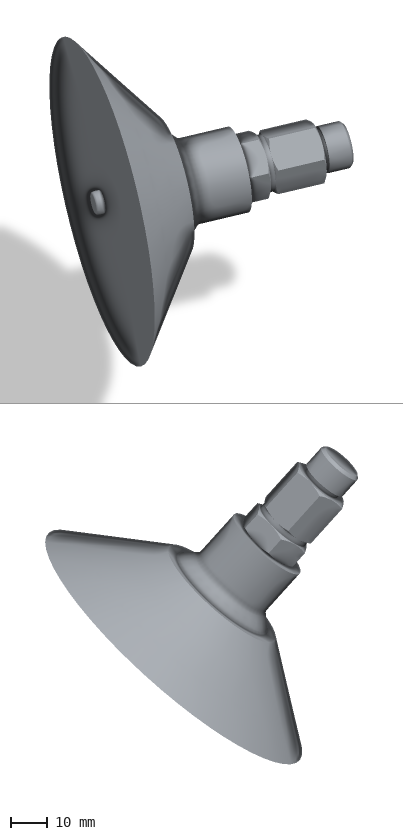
import cadquery as cq
import math


cup_rim_diameter = 92.0
cup_top_diameter = 38.6
cup_height = 20.1

pin_diameter = 6.6
pin_length = 2.47
pin_end_diameter = 5.2
pin_straight_length = 1.25

collar_diameter = 24.0
collar_end = 38.9
flare_fillet_radius = 2.0
flare_start = 25.1
flare_angle = math.radians(45)
foot_height = 0.4
foot_spread = 0.6

overall_length = 72.47
small_hex_flats = 16.0
large_hex_flats = 17.0
large_hex_length = 6.65
relief_diameter = 16.0
relief_length = 1.5
small_hex_length = 14.55
neck_diameter = 11.45
neck_length = 1.35
thread_diameter = 13.16
hex_chamfer_angle = math.radians(30)

fitting_end = overall_length - pin_length
large_hex_end = collar_end + large_hex_length
relief_end = large_hex_end + relief_length
small_hex_end = relief_end + small_hex_length
neck_end = small_hex_end + neck_length


def cylinder(diameter, start, end):
    """Cylinder on the Y axis between two stations."""
    face = cq.Workplane("XZ", origin=(0, start, 0))
    return face.circle(diameter / 2).extrude(start - end)


def make_cup():
    """Solid cone from the flat top down to the sharp rim."""
    outline = (
        cq.Workplane("XY")
        .lineTo(cup_rim_diameter / 2, 0)
        .lineTo(cup_top_diameter / 2, cup_height)
        .lineTo(0, cup_height)
        .close()
    )
    return outline.revolve(360, (0, 0), (0, 1))


def make_pin():
    """Short pin whose free end curves in, from the straight side to a flat end."""
    radius = pin_diameter / 2
    end_radius = pin_end_diameter / 2
    outline = (
        cq.Workplane("XY")
        .lineTo(radius, 0)
        .lineTo(radius, -pin_straight_length)
        .spline([(end_radius, -pin_length)], tangents=[(0, -1), (-1, 0)], includeCurrent=True)
        .lineTo(0, -pin_length)
        .close()
    )
    return outline.revolve(360, (0, 0), (0, 1))


def make_collar():
    """Collar whose foot flares out at 45 degrees through a fillet."""
    radius = collar_diameter / 2
    arc_centre = radius + flare_fillet_radius

    def fillet_point(angle):
        return (
            arc_centre - flare_fillet_radius * math.cos(angle),
            flare_start - flare_fillet_radius * math.sin(angle),
        )

    flare_top = fillet_point(flare_angle)
    foot_top = cup_height + foot_height
    foot_radius = flare_top[0] + (flare_top[1] - foot_top) * math.tan(flare_angle)
    outline = (
        cq.Workplane("XY")
        .moveTo(0, cup_height)
        .lineTo(foot_radius + foot_spread, cup_height)
        .lineTo(foot_radius, foot_top)
        .lineTo(*flare_top)
        .threePointArc(fillet_point(flare_angle / 2), (radius, flare_start))
        .lineTo(radius, collar_end)
        .lineTo(0, collar_end)
        .close()
    )
    return outline.revolve(360, (0, 0), (0, 1))


def make_hexagon(flats, start, end):
    """Hexagon with corners on Z and both ends turned to a 30 degree chamfer."""
    corners = flats / math.cos(math.pi / 6)
    chamfer = (corners - flats) / 2 * math.tan(hex_chamfer_angle)
    prism = (
        cq.Workplane("XZ", origin=(0, start, 0))
        .transformed(rotate=(0, 0, 90))
        .polygon(6, corners)
        .extrude(start - end)
    )
    envelope = (
        cq.Workplane("XY")
        .moveTo(0, start)
        .lineTo(flats / 2, start)
        .lineTo(corners / 2, start + chamfer)
        .lineTo(corners / 2, end - chamfer)
        .lineTo(flats / 2, end)
        .lineTo(0, end)
        .close()
        .revolve(360, (0, 0), (0, 1))
    )
    return prism.intersect(envelope)


def make_thread():
    """Plain threaded end, chamfered down to the neck diameter."""
    chamfer = (thread_diameter - neck_diameter) / 2
    thread = cylinder(thread_diameter, neck_end, fitting_end)
    return thread.faces(">Y").edges().chamfer(chamfer)


result = (
    make_cup()
    .union(make_pin())
    .union(make_collar())
    .union(make_hexagon(large_hex_flats, collar_end, large_hex_end))
    .union(cylinder(relief_diameter, large_hex_end, relief_end))
    .union(make_hexagon(small_hex_flats, relief_end, small_hex_end))
    .union(cylinder(neck_diameter, small_hex_end, neck_end))
    .union(make_thread())
)